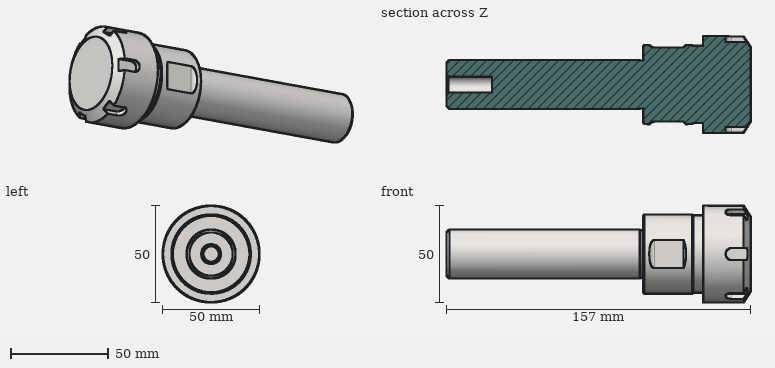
import cadquery as cq

LENGTH = 157.0

SHANK_RADIUS = 12.7
SHANK_CHAMFER = 1.5
RELIEF_START = 99.5
RELIEF_RADIUS = 12.4
RELIEF_TAPER = 0.5

HOLE_DIAMETER = 8.0
HOLE_DEPTH = 23.5
COUNTERSINK_DIAMETER = 10.2
COUNTERSINK_ANGLE = 90

BODY_START = 101.4
BODY_END = 127.3
BODY_RADIUS = 41.0 / 2
BODY_CHAMFER = 0.8
BODY_END_TAPER = 0.8
NECK_RADIUS = 40.0 / 2

FLAT_COUNT = 2
FLAT_START = 107.4
FLAT_END_RADIUS = 3.6
FLAT_END = 122.3
FLAT_OFFSET = 19.2
FLAT_HEIGHT = 2 * (BODY_RADIUS**2 - FLAT_OFFSET**2) ** 0.5

NUT_START = 132.2
NUT_RADIUS = 50.0 / 2
NUT_CHAMFER = 0.3
NUT_TAPER_START = 153.2
NUT_FACE_RADIUS = 19.2

SLOT_COUNT = 6
SLOT_WIDTH = 6.3
SLOT_START = 144.0
SLOT_FLOOR_OFFSET = 22.0

CUT_MARGIN = 1.5


def make_turned_body():
    """Revolve the outer half profile about the X axis."""
    profile = [
        (0, 0),
        (0, SHANK_RADIUS - SHANK_CHAMFER),
        (SHANK_CHAMFER, SHANK_RADIUS),
        (RELIEF_START, SHANK_RADIUS),
        (RELIEF_START + RELIEF_TAPER, RELIEF_RADIUS),
        (BODY_START, RELIEF_RADIUS),
        (BODY_START, BODY_RADIUS - BODY_CHAMFER),
        (BODY_START + BODY_CHAMFER, BODY_RADIUS),
        (BODY_END - BODY_END_TAPER, BODY_RADIUS),
        (BODY_END, NECK_RADIUS),
        (NUT_START, NECK_RADIUS),
        (NUT_START, NUT_RADIUS - NUT_CHAMFER),
        (NUT_START + NUT_CHAMFER, NUT_RADIUS),
        (NUT_TAPER_START, NUT_RADIUS),
        (LENGTH, NUT_FACE_RADIUS),
        (LENGTH, 0),
    ]
    return cq.Workplane("XY").polyline(profile).close().revolve(360, (0, 0, 0), (1, 0, 0))


def drill_shank(part):
    """Drill the countersunk blind hole into the shank end."""
    return (
        part.faces("<X")
        .workplane(origin=(0, 0, 0))
        .cskHole(HOLE_DIAMETER, COUNTERSINK_DIAMETER, COUNTERSINK_ANGLE, HOLE_DEPTH)
    )


def make_flat_cutter():
    """Make the +Y flat cutter: rounded end toward the shank, 45 degree end toward the nut."""
    depth = BODY_RADIUS - FLAT_OFFSET + CUT_MARGIN
    outer = FLAT_OFFSET + depth
    arc_reach = (FLAT_END_RADIUS**2 - (FLAT_END_RADIUS - depth) ** 2) ** 0.5
    return (
        cq.Workplane("XY")
        .moveTo(FLAT_START, FLAT_OFFSET)
        .lineTo(FLAT_END, FLAT_OFFSET)
        .lineTo(FLAT_END + depth, outer)
        .lineTo(FLAT_START - arc_reach, outer)
        .radiusArc((FLAT_START, FLAT_OFFSET), -FLAT_END_RADIUS)
        .close()
        .extrude(FLAT_HEIGHT / 2 + CUT_MARGIN, both=True)
    )


def make_slot_cutter():
    """Make the +Y slot cutter: round at its inner end, open at the nut face."""
    round_center = SLOT_START + SLOT_WIDTH / 2
    straight_end = LENGTH + CUT_MARGIN
    half_width = SLOT_WIDTH / 2
    return (
        cq.Workplane("XZ", origin=(0, SLOT_FLOOR_OFFSET, 0))
        .moveTo(straight_end, half_width)
        .lineTo(round_center, half_width)
        .threePointArc((SLOT_START, 0), (round_center, -half_width))
        .lineTo(straight_end, -half_width)
        .close()
        .extrude(-(NUT_RADIUS - SLOT_FLOOR_OFFSET + CUT_MARGIN))
    )


def cut_around_axis(part, cutter, count):
    """Cut equally spaced copies of a cutter around the X axis."""
    for index in range(count):
        part = part.cut(cutter.rotate((0, 0, 0), (1, 0, 0), index * 360 / count))
    return part


result = drill_shank(make_turned_body())
result = cut_around_axis(result, make_flat_cutter(), FLAT_COUNT)
result = cut_around_axis(result, make_slot_cutter(), SLOT_COUNT)